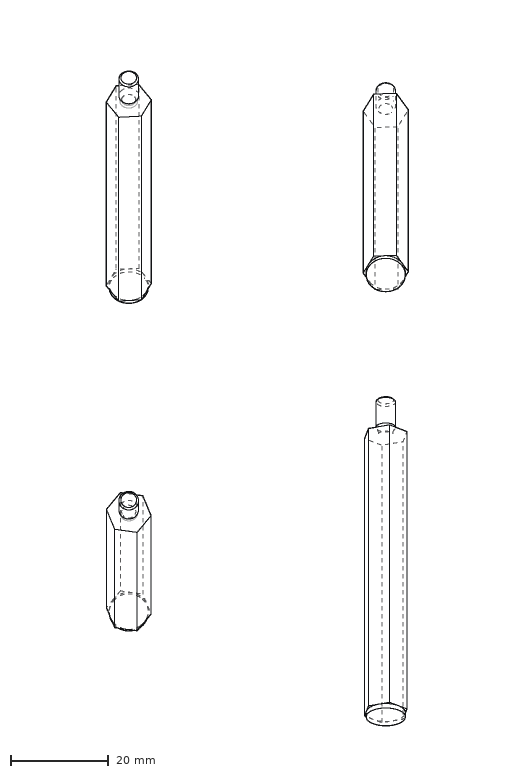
import cadquery as cq
import math

total_length = 73.0
stud_length = 8.0
across_flats = 8.0
collar_height = 1.0

stud_diameter = 4.0
tip_diameter = 3.2
neck_diameter = 2.9
undercut_length = 1.75
undercut_angle = 30.0
root_radius = 0.4

shoulder_z = total_length - stud_length
stud_radius = stud_diameter / 2
tip_radius = tip_diameter / 2
neck_radius = neck_diameter / 2


def hexagonal_body():
    """Hexagonal bar standing on a short round collar, corners along X."""
    across_corners = across_flats / math.cos(math.radians(30))
    collar = cq.Workplane("XY").circle(across_flats / 2).extrude(collar_height)
    bar = (
        cq.Workplane("XY")
        .workplane(offset=collar_height)
        .polygon(6, across_corners)
        .extrude(shoulder_z - collar_height)
    )
    return collar.union(bar)


def stud():
    """Turned stud with a 45 degree tip chamfer and an undercut rounded at both ends of its neck."""
    tip_chamfer = stud_radius - tip_radius
    cone_height = (stud_radius - neck_radius) / math.tan(math.radians(undercut_angle))
    cone_top_z = shoulder_z + undercut_length
    root_center = (neck_radius + root_radius, shoulder_z + root_radius)
    arc_offset = root_radius * math.sin(math.radians(45))
    cone_end_z = cone_top_z - cone_height

    half_turn = math.radians(undercut_angle / 2)
    tangent_length = root_radius * math.tan(half_turn)
    blend_start_z = cone_end_z - tangent_length
    blend_center_r = neck_radius + root_radius

    def blend_point(turn):
        return (
            blend_center_r - root_radius * math.cos(turn),
            blend_start_z + root_radius * math.sin(turn),
        )

    return (
        cq.Workplane("XZ")
        .moveTo(0, shoulder_z)
        .lineTo(root_center[0], shoulder_z)
        .threePointArc(
            (root_center[0] - arc_offset, root_center[1] - arc_offset),
            (neck_radius, root_center[1]),
        )
        .lineTo(neck_radius, blend_start_z)
        .threePointArc(blend_point(half_turn), blend_point(2 * half_turn))
        .lineTo(stud_radius, cone_top_z)
        .lineTo(stud_radius, total_length - tip_chamfer)
        .lineTo(tip_radius, total_length)
        .lineTo(0, total_length)
        .close()
        .revolve(360, (0, 0, 0), (0, 1, 0))
    )


result = hexagonal_body().union(stud())